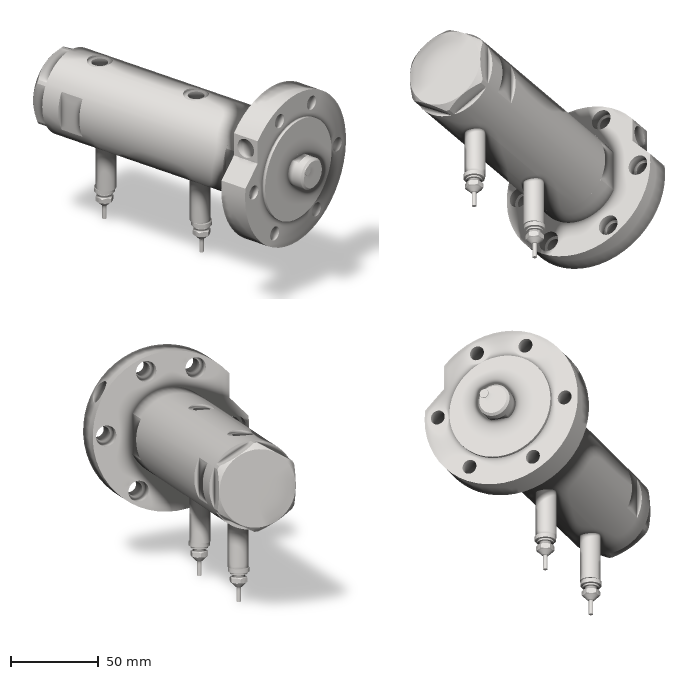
import cadquery as cq
import math


hex_end = 9.0
tube_start = 10.7
tube_end = 139.2
flange_start = 154.2
flange_end = 171.3
spigot_end = 173.3
total_length = 184.4

body_radius = 26.0
bore_radius = 17.0
flat_half_width = 23.0
tube_flat_start = 20.7
tube_flat_length = 15.1
port_positions = (30.5, 99.8)
port_radius = 4.8
spotface_radius = 7.4
spotface_level = 24.7

cap_chamfer = 3.1
plug_radius = 15.9
plug_end = 34.9

stem_start = 102.5
stem_radius = 21.5
flange_radius = 47.0
spigot_radius = 31.0
notch_y = -35.2
notch_bottom_z = 17.0
bolt_circle_radius = 39.0
bolt_angles = (0, 67.5, 112.5, 180, 240, 300)
bolt_hole_radius = 4.2
counterbore_radius = 6.0
counterbore_depth = 6.0
cross_hole_radius = 5.9
cross_hole_z = 24.0

bushing_radius = 20.0
rod_radius = 9.5
rod_face = 183.8
rod_chamfer = 1.3
rod_flat_half_width = 8.0
rod_flat_end = 178.1
nub_radius = 2.5
nub_y = -5.3
nub_z = 4.5

barrel_positions = (34.9, 102.5)
head_offset = 1.1
barrel_radius = 5.9
barrel_top = -22.1
barrel_bottom = -53.3
collar_radius = 6.0
collar_bottom = -55.7
step_radius = 4.5
lip_radius = 5.0
lip_top = -56.5
lip_bottom = -57.0
head_neck_radius = 3.5
nut_top = -58.6
nut_bottom = -62.3
nut_corner_radius = 5.3
nut_face_radius = 4.2
nut_chamfer_height = 0.7
nut_angle = -7
cone_tip_radius = 1.8
cone_bottom = -64.7
cable_radius = 1.3
cable_bottom = -73.4


def cylinder_x(start, end, radius, y=0.0, z=0.0):
    """Cylinder along X between two positions."""
    return cq.Workplane("YZ", origin=(start, y, z)).circle(radius).extrude(end - start)


def cylinder_z(bottom, top, radius, x=0.0):
    """Vertical cylinder between two heights."""
    return cq.Workplane("XY", origin=(x, 0, bottom)).circle(radius).extrude(top - bottom)


def flat_slab(start, end, half_width, height):
    """Slab symmetric about the axis that leaves flats at Y = +/- half_width."""
    slab = cq.Workplane("XY").box(end - start, 2 * half_width, height)
    return slab.translate(((start + end) / 2, 0, 0))


def make_tube():
    tube = cylinder_x(tube_start, tube_end, body_radius)

    flat_end = tube_flat_start + tube_flat_length
    band = cylinder_x(tube_flat_start, flat_end, body_radius)
    tube = tube.cut(band.cut(flat_slab(tube_flat_start, flat_end, flat_half_width, 2 * body_radius)))

    tube = tube.cut(cylinder_x(tube_start, stem_start, bore_radius))
    tube = tube.cut(cylinder_x(stem_start, tube_end, stem_radius))

    for x in port_positions:
        tube = tube.cut(cylinder_z(0, body_radius, port_radius, x))
        tube = tube.cut(cylinder_z(spotface_level, body_radius, spotface_radius, x))

    for x in barrel_positions:
        tube = tube.cut(cylinder_z(-body_radius, barrel_top, barrel_radius, x))
    return tube


def make_cap():
    corner_diameter = 2 * flat_half_width / math.cos(math.pi / 6)
    hexagon = cq.Workplane("YZ").polygon(6, corner_diameter).extrude(hex_end)
    hexagon = hexagon.rotate((0, 0, 0), (1, 0, 0), 90)
    envelope = cylinder_x(0, hex_end, body_radius).faces("<X").chamfer(cap_chamfer)
    collar = cylinder_x(hex_end, tube_start, body_radius)
    plug = cylinder_x(tube_start, plug_end, plug_radius)
    return hexagon.intersect(envelope).union(collar).union(plug)


def make_flange():
    stem = cylinder_x(stem_start, tube_end, stem_radius)
    neck = cylinder_x(tube_end, flange_start, body_radius)
    neck = neck.intersect(flat_slab(tube_end, flange_start, flat_half_width, 2 * body_radius))
    disc = cylinder_x(flange_start, flange_end, flange_radius)

    notch_run = flange_radius
    notch = (
        cq.Workplane("YZ", origin=(flange_start, 0, 0))
        .moveTo(notch_y, flange_radius)
        .lineTo(notch_y, notch_bottom_z)
        .lineTo(notch_y - notch_run, notch_bottom_z - notch_run)
        .lineTo(notch_y - notch_run, flange_radius)
        .close()
        .extrude(flange_end - flange_start)
    )
    disc = disc.cut(notch)

    for angle in bolt_angles:
        y = bolt_circle_radius * math.cos(math.radians(angle))
        z = bolt_circle_radius * math.sin(math.radians(angle))
        counterbore_end = flange_start + counterbore_depth
        disc = disc.cut(cylinder_x(flange_start, flange_end, bolt_hole_radius, y, z))
        disc = disc.cut(cylinder_x(flange_start, counterbore_end, counterbore_radius, y, z))

    flange_middle = (flange_start + flange_end) / 2
    cross_hole = (
        cq.Workplane("XZ", origin=(flange_middle, 0, cross_hole_z))
        .circle(cross_hole_radius)
        .extrude(flange_radius, both=True)
    )
    disc = disc.cut(cross_hole)

    spigot = cylinder_x(flange_end, spigot_end, spigot_radius)
    flange = stem.union(neck).union(disc).union(spigot)

    flange = flange.cut(cylinder_x(stem_start, flange_start, rod_radius))
    return flange.cut(cylinder_x(flange_start, spigot_end, bushing_radius))


def make_bushing():
    bushing = cylinder_x(flange_start, spigot_end, bushing_radius)
    return bushing.cut(cylinder_x(flange_start, spigot_end, rod_radius))


def make_rod():
    rod = cylinder_x(plug_end, rod_face, rod_radius).faces(">X").chamfer(rod_chamfer)

    band = cylinder_x(spigot_end, rod_flat_end, rod_radius)
    core = flat_slab(spigot_end, rod_flat_end, rod_radius, 2 * rod_flat_half_width)
    rod = rod.cut(band.cut(core))
    return rod.union(cylinder_x(rod_face, total_length, nub_radius, nub_y, nub_z))


def make_nut(x):
    """Hexagonal cable nut with both ends chamfered."""
    height = nut_top - nut_bottom
    hexagon = cq.Workplane("XY").polygon(6, 2 * nut_corner_radius).extrude(height)
    hexagon = hexagon.rotate((0, 0, 0), (0, 0, 1), nut_angle)
    envelope = (
        cq.Workplane("XY")
        .circle(nut_corner_radius)
        .extrude(height)
        .faces("<Z or >Z")
        .chamfer(nut_chamfer_height, nut_corner_radius - nut_face_radius)
    )
    return hexagon.intersect(envelope).translate((x, 0, nut_bottom))


def make_sensor(barrel_x, head_x):
    sensor = cylinder_z(barrel_bottom, barrel_top, barrel_radius, barrel_x)

    sensor = sensor.union(cylinder_z(collar_bottom, barrel_bottom, collar_radius, head_x))
    sensor = sensor.union(cylinder_z(lip_top, collar_bottom, step_radius, head_x))
    sensor = sensor.union(cylinder_z(lip_bottom, lip_top, lip_radius, head_x))
    sensor = sensor.union(cylinder_z(nut_top, lip_bottom, head_neck_radius, head_x))
    sensor = sensor.union(make_nut(head_x))

    cone = (
        cq.Workplane("XY", origin=(head_x, 0, nut_bottom))
        .circle(nut_face_radius)
        .workplane(offset=cone_bottom - nut_bottom)
        .circle(cone_tip_radius)
        .loft()
    )
    sensor = sensor.union(cone)
    return sensor.union(cylinder_z(cable_bottom, cone_bottom, cable_radius, head_x))


tube = make_tube()
cap = make_cap()
flange = make_flange()
bushing = make_bushing()
rod = make_rod()

sensors = []
for barrel_x, direction in zip(barrel_positions, (-1, 1)):
    sensors.append(make_sensor(barrel_x, barrel_x + direction * head_offset).solids().val())

result = cq.Compound.makeCompound(
    [body.solids().val() for body in (tube, cap, flange, bushing, rod)] + sensors
)